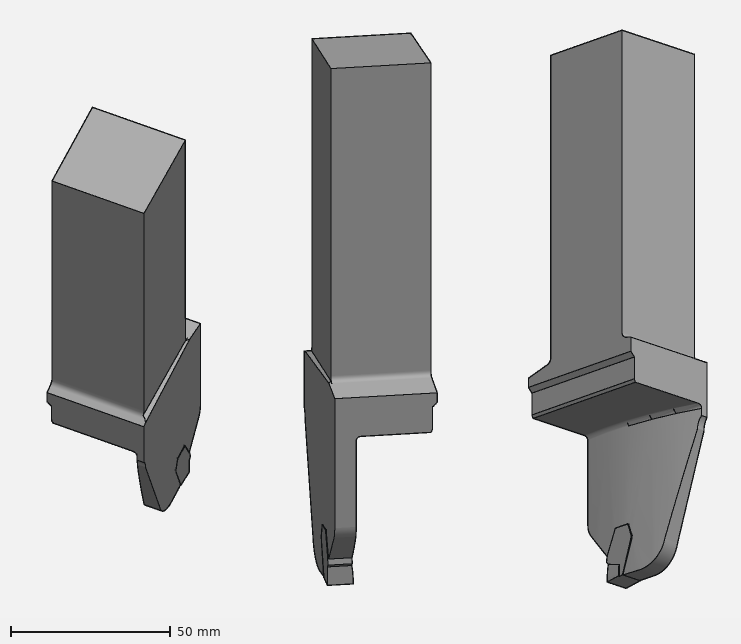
import cadquery as cq
import math

TOTAL_HEIGHT = 170.0
SHANK_SIDE = 32.0
SHANK_RIGHT_X = 31.6

HEAD_FRONT_Y = -3.9
HEAD_BACK_Y = 42.0
HEAD_TOP_Z = 67.2
HEAD_BOTTOM_Z = 51.5
SHOULDER_SLOPE = math.tan(math.radians(15))
SHOULDER_FILLET = 2.0
HEAD_LEFT_LEAN = 0.5
HEAD_RIGHT_FRONT_X = 33.3
HEAD_RIGHT_BACK_X = 32.3
SIDE_BEVEL_DROP = 0.7

RELIEF_DEPTH = 1.5
RELIEF_TOP_Z = 61.4
RELIEF_FLOOR_Z = 59.8
RELIEF_FOOT_WIDTH = 0.5
RELIEF_FOOT_HEIGHT = 1.0

BLADE_FACE_X = 25.0
BLADE_APEX_Y = 32.3
BLADE_FACE_RADIUS = 113.9
BLADE_ROOT_FILLET = 1.4
BLADE_BOTTOM_Z = 0.8
BLADE_FRONT_TOP_Z = 47.8
BLADE_SLANT_TOP = (-2.5, 43.7)
BLADE_ROOT_ARC_MID = (-2.9, 45.9)
BLADE_SLANT_END = (9.2, 9.0)
BLADE_NOSE_MID = (13.0, 3.0)
BLADE_NOSE_END = (19.7, BLADE_BOTTOM_Z)
BLADE_HEEL_Y = 25.8
BLADE_BACK_LOW = (32.8, 8.8)
BLADE_BACK_SLANT_TOP = (40.8, 18.2)
BLADE_BACK_ARC_MID = (41.6, 19.9)
BLADE_BACK_ARC_TOP_Z = 21.8

INSERT_TOP_Z = 17.3
INSERT_TOP_FRONT_Y = 23.5
INSERT_TOP_BACK_Y = 29.0
INSERT_SHOULDER = (22.0, 13.1)
INSERT_SHOULDER_LOW = (22.1, 11.9)
INSERT_LIP = (33.2, 7.0)
INSERT_RIGHT_X = 32.8
TIP_FRONT_Y = 27.2
TIP_BACK_Y = 32.3
TIP_TOP_Z = 4.6
TIP_ROOT_Z = 6.1
TIP_EDGE_Z = 1.4
TIP_PROUD = 0.5
TIP_LEDGE = 0.25

SELECT_MARGIN = 0.2


def right_side_points():
    """Corners, front then back, of the leaning +X side shared by head and blade."""
    return (HEAD_RIGHT_FRONT_X, HEAD_FRONT_Y), (HEAD_RIGHT_BACK_X, HEAD_BACK_Y)


def left_side_x(y):
    """X of the leaning -X side of head and shank at a given Y."""
    return -HEAD_LEFT_LEAN * (y - HEAD_FRONT_Y) / (HEAD_BACK_Y - HEAD_FRONT_Y)


def make_shank():
    return (
        cq.Workplane("XY", origin=(0, 0, HEAD_BOTTOM_Z))
        .polyline([
            (left_side_x(0), 0),
            (SHANK_RIGHT_X, 0),
            (SHANK_RIGHT_X, SHANK_SIDE),
            (left_side_x(SHANK_SIDE), SHANK_SIDE),
        ]).close()
        .extrude(TOTAL_HEIGHT - HEAD_BOTTOM_Z)
    )


def head_plan():
    """Plan outline of the head."""
    right_front, right_back = right_side_points()
    return cq.Workplane("XY").polyline([
        (left_side_x(HEAD_FRONT_Y), HEAD_FRONT_Y),
        right_front,
        right_back,
        (left_side_x(HEAD_BACK_Y), HEAD_BACK_Y),
    ]).close()


def make_head():
    head = head_plan().extrude(HEAD_TOP_Z)
    front_edge_z = HEAD_TOP_Z + HEAD_FRONT_Y * SHOULDER_SLOPE
    back_edge_z = HEAD_TOP_Z - (HEAD_BACK_Y - SHANK_SIDE) * SHOULDER_SLOPE
    side_profile = (
        cq.Workplane("YZ", origin=(-RELIEF_DEPTH, 0, 0))
        .polyline([
            (HEAD_FRONT_Y, HEAD_BOTTOM_Z),
            (HEAD_FRONT_Y, front_edge_z),
            (0, HEAD_TOP_Z),
            (SHANK_SIDE, HEAD_TOP_Z),
            (HEAD_BACK_Y, back_edge_z),
            (HEAD_BACK_Y, HEAD_BOTTOM_Z),
        ]).close()
        .extrude(HEAD_RIGHT_FRONT_X + 2 * RELIEF_DEPTH)
    )
    return head.intersect(side_profile)


def bevel_head_side(body):
    """Slope the narrow ledge of the head beside the +X face of the shank."""
    wedge = (
        cq.Workplane("XZ", origin=(0, HEAD_BACK_Y, 0))
        .polyline([
            (SHANK_RIGHT_X, HEAD_TOP_Z),
            (HEAD_RIGHT_FRONT_X, HEAD_TOP_Z - SIDE_BEVEL_DROP),
            (HEAD_RIGHT_FRONT_X, HEAD_TOP_Z),
        ]).close()
        .extrude(HEAD_BACK_Y - HEAD_FRONT_Y)
    )
    return body.cut(wedge)


def fillet_shoulders(body):
    """Round the inner corners where the sloping shoulders meet the shank."""
    for y in (0, SHANK_SIDE):
        corner = cq.selectors.BoxSelector(
            (0, y - SELECT_MARGIN, HEAD_TOP_Z - SELECT_MARGIN),
            (SHANK_SIDE, y + SELECT_MARGIN, HEAD_TOP_Z + SELECT_MARGIN))
        body = body.edges("|X").edges(corner).fillet(SHOULDER_FILLET)
    return body


def relieve_head(body):
    """Step the lower -X side of the head inward, with a sloping upper edge and a beveled foot."""
    left_side = (
        cq.Workplane("XZ", origin=(0, HEAD_FRONT_Y, 0))
        .polyline([
            (-RELIEF_DEPTH, HEAD_BOTTOM_Z),
            (RELIEF_DEPTH + RELIEF_FOOT_WIDTH, HEAD_BOTTOM_Z),
            (RELIEF_DEPTH, HEAD_BOTTOM_Z + RELIEF_FOOT_HEIGHT),
            (RELIEF_DEPTH, RELIEF_FLOOR_Z),
            (0, RELIEF_TOP_Z),
            (-RELIEF_DEPTH, RELIEF_TOP_Z),
        ]).close()
    )
    path = cq.Workplane("XY").moveTo(0, HEAD_FRONT_Y).lineTo(-HEAD_LEFT_LEAN, HEAD_BACK_Y)
    return body.cut(left_side.sweep(path))


def blade_outline():
    blade = (
        cq.Workplane("YZ")
        .moveTo(HEAD_FRONT_Y, HEAD_BOTTOM_Z)
        .lineTo(HEAD_FRONT_Y, BLADE_FRONT_TOP_Z)
        .threePointArc(BLADE_ROOT_ARC_MID, BLADE_SLANT_TOP)
        .lineTo(*BLADE_SLANT_END)
        .threePointArc(BLADE_NOSE_MID, BLADE_NOSE_END)
        .lineTo(BLADE_HEEL_Y, BLADE_BOTTOM_Z)
        .lineTo(*BLADE_BACK_LOW)
        .lineTo(*BLADE_BACK_SLANT_TOP)
        .threePointArc(BLADE_BACK_ARC_MID, (HEAD_BACK_Y, BLADE_BACK_ARC_TOP_Z))
        .lineTo(HEAD_BACK_Y, HEAD_BOTTOM_Z)
        .close()
    )
    return blade.extrude(HEAD_RIGHT_FRONT_X)


def blade_face_x(y):
    """X of the cylindrical blade face at a given Y."""
    axis_x = BLADE_FACE_X + BLADE_FACE_RADIUS
    return axis_x - math.sqrt(BLADE_FACE_RADIUS**2 - (y - BLADE_APEX_Y) ** 2)


def make_blade():
    right_front, right_back = right_side_points()
    plan = (
        cq.Workplane("XY")
        .moveTo(blade_face_x(HEAD_FRONT_Y), HEAD_FRONT_Y)
        .threePointArc((BLADE_FACE_X, BLADE_APEX_Y), (blade_face_x(HEAD_BACK_Y), HEAD_BACK_Y))
        .lineTo(*right_back)
        .lineTo(*right_front)
        .close()
        .extrude(HEAD_BOTTOM_Z)
    )
    return plan.intersect(blade_outline())


def fillet_blade_root(body):
    """Round the corner between the head underside and the blade face."""
    root = cq.selectors.BoxSelector(
        (BLADE_FACE_X, HEAD_FRONT_Y, HEAD_BOTTOM_Z - SELECT_MARGIN),
        (HEAD_RIGHT_BACK_X, HEAD_BACK_Y, HEAD_BOTTOM_Z + SELECT_MARGIN))
    return body.edges("%CIRCLE").edges(root).fillet(BLADE_ROOT_FILLET)


def make_insert():
    slip = (
        cq.Workplane("YZ", origin=(BLADE_FACE_X, 0, 0))
        .polyline([
            (INSERT_TOP_BACK_Y, INSERT_TOP_Z),
            (INSERT_TOP_FRONT_Y, INSERT_TOP_Z),
            INSERT_SHOULDER,
            INSERT_SHOULDER_LOW,
            (BLADE_HEEL_Y, BLADE_BOTTOM_Z),
            (TIP_BACK_Y, 0),
            (TIP_BACK_Y, TIP_ROOT_Z),
            INSERT_LIP,
            BLADE_BACK_LOW,
        ]).close()
        .extrude(INSERT_RIGHT_X - BLADE_FACE_X)
    )
    return slip.union(make_tip().intersect(tip_limits()))


def make_tip():
    """Proud cutting tip, tapering from its low edge up to a narrow ledge."""
    edge_x = BLADE_FACE_X - TIP_PROUD
    return (
        cq.Workplane("XZ", origin=(0, TIP_BACK_Y, 0))
        .polyline([
            (BLADE_FACE_X, 0),
            (edge_x, 0),
            (edge_x, TIP_EDGE_Z),
            (BLADE_FACE_X - TIP_LEDGE, TIP_TOP_Z),
            (BLADE_FACE_X, TIP_ROOT_Z),
        ]).close()
        .extrude(TIP_BACK_Y - TIP_FRONT_Y)
    )


def tip_limits():
    """Bound the tip by the slanted lower edge of the lip and the bottom of the insert."""
    bottom_slope = BLADE_BOTTOM_Z / (TIP_BACK_Y - BLADE_HEEL_Y)
    return (
        cq.Workplane("YZ", origin=(BLADE_FACE_X - TIP_PROUD, 0, 0))
        .polyline([
            (TIP_BACK_Y, 0),
            (TIP_BACK_Y, TIP_ROOT_Z),
            (TIP_FRONT_Y, TIP_TOP_Z),
            (TIP_FRONT_Y, bottom_slope * (TIP_BACK_Y - TIP_FRONT_Y)),
        ]).close()
        .extrude(TIP_PROUD)
    )


def make_holder(insert):
    body = bevel_head_side(make_head()).union(make_shank())
    body = relieve_head(fillet_shoulders(body))
    body = fillet_blade_root(body.union(make_blade()))
    return body.cut(insert)


insert = make_insert()
holder = make_holder(insert)

result = cq.Compound.makeCompound([holder.val(), insert.val()])